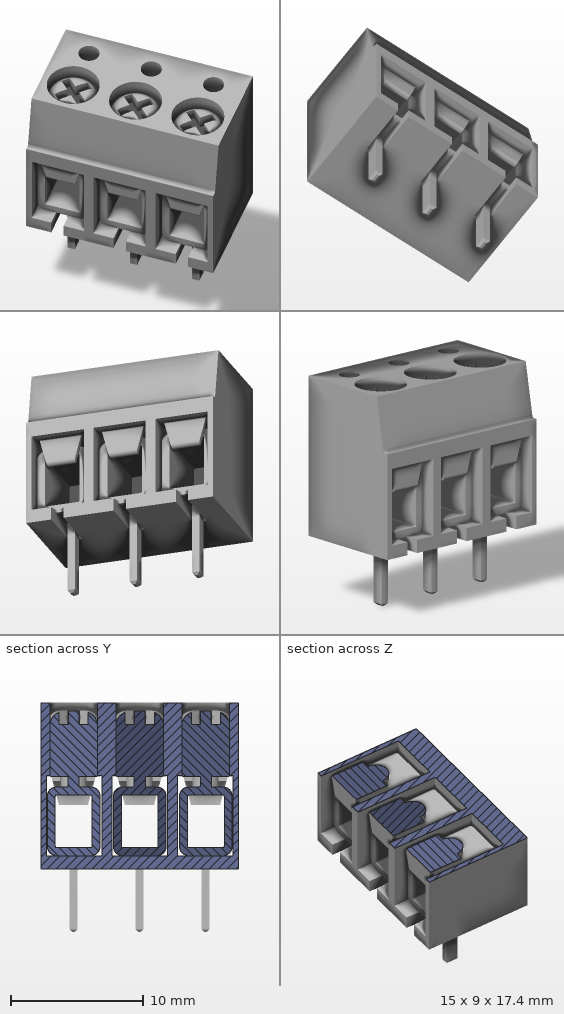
import cadquery as cq


pole_count = 3
pole_pitch = 5.0
pole_axis_y = 3.61
pole_xs = [(i - (pole_count - 1) / 2) * pole_pitch for i in range(pole_count)]

housing_width = 15.0
housing_depth = 9.0
housing_height = 12.6
ledge_height = 8.31
slope_foot_y = 0.42
slope_top_y = 1.21
slope_foot_radius = 0.2

floor_thickness = 1.04
outer_wall = 0.45
inner_wall = 0.78
cavity_width = (housing_width - 2 * outer_wall - (pole_count - 1) * inner_wall) / pole_count
cavity_pitch = cavity_width + inner_wall
cavity_xs = [(i - (pole_count - 1) / 2) * cavity_pitch for i in range(pole_count)]
cavity_top = 7.08
cavity_depth = 7.06

test_hole_diameter = 1.6
test_hole_y = 7.18

cage_width = 4.0
cage_height = 5.2
cage_front_y = 1.13
cage_back_y = 6.66
cage_corner_radius = 0.7
cage_wall = 0.62
opening_corner_radius = 0.1
cage_top = floor_thickness + cage_height

screw_diameter = 4.0
shank_diameter = 2.0
screw_head_bottom = 7.01
screw_top_depth = 0.6
screw_edge_radius = 1.0
slot_length = 2.8
slot_width = 0.7
slot_depth = 1.0
screw_top = housing_height - screw_top_depth

leaf_front_y = 0.7
leaf_thickness = 0.4
leaf_bottom = 4.88
leaf_edge_radius = 0.3
leaf_top_width = 3.4
leaf_bottom_width = 2.2

pin_width = 0.59
pin_depth = 0.97
pin_length = 4.75
pin_tip_chamfer = 0.19
pin_slot_width = 0.99


def make_housing():
    """Block with a sloped upper front, clamp cavities, screw holes, test holes and pin slots."""
    profile = [
        (0, 0),
        (housing_depth, 0),
        (housing_depth, housing_height),
        (slope_top_y, housing_height),
        (slope_foot_y, ledge_height),
        (0, ledge_height),
    ]
    body = cq.Workplane("YZ").polyline(profile).close().extrude(housing_width / 2, both=True)
    slope_foot = cq.selectors.NearestToPointSelector((0, slope_foot_y, ledge_height))
    body = body.edges(slope_foot).fillet(slope_foot_radius)

    cavity_height = cavity_top - floor_thickness
    for x in cavity_xs:
        cavity = cq.Workplane("XY").box(
            cavity_width, cavity_depth, cavity_height, centered=(True, False, False)
        )
        body = body.cut(cavity.translate((x, 0, floor_thickness)))

    hole_depth = housing_height - cavity_top
    pin_slot_depth = pole_axis_y + pin_depth / 2
    for x in pole_xs:
        holes = (
            cq.Workplane("XY", origin=(x, 0, cavity_top))
            .center(0, pole_axis_y)
            .circle(screw_diameter / 2)
            .extrude(hole_depth)
            .center(0, test_hole_y - pole_axis_y)
            .circle(test_hole_diameter / 2)
            .extrude(hole_depth)
        )
        pin_slot = cq.Workplane("XY").box(
            pin_slot_width, pin_slot_depth, floor_thickness, centered=(True, False, False)
        )
        body = body.cut(holes).cut(pin_slot.translate((x, 0, 0)))
    return body.solids()


def make_cage():
    """Rounded rectangular sleeve, open at the front and the back."""
    depth = cage_back_y - cage_front_y
    middle = (0, cage_front_y + depth / 2, floor_thickness + cage_height / 2)
    outside = cq.Workplane("XY").box(cage_width, depth, cage_height)
    outside = outside.edges("|Y").fillet(cage_corner_radius)
    opening = cq.Workplane("XY").box(cage_width - 2 * cage_wall, depth, cage_height - 2 * cage_wall)
    opening = opening.edges("|Y").fillet(opening_corner_radius)
    return outside.cut(opening).translate(middle)


def make_screw():
    """Domed screw head with a cross recess, on a shank that stands on top of the cage."""
    screw = cq.Workplane("XY", origin=(0, pole_axis_y, screw_head_bottom)).circle(screw_diameter / 2)
    screw = screw.extrude(screw_top - screw_head_bottom).faces(">Z").edges().fillet(screw_edge_radius)
    shank = cq.Workplane("XY", origin=(0, pole_axis_y, cage_top)).circle(shank_diameter / 2)
    screw = screw.union(shank.extrude(screw_head_bottom - cage_top))
    for angle in (45, -45):
        slot = cq.Workplane("XY").box(slot_length, slot_width, slot_depth, centered=(True, True, False))
        slot = slot.rotate((0, 0, 0), (0, 0, 1), angle)
        screw = screw.cut(slot.translate((0, pole_axis_y, screw_top - slot_depth)))
    return screw


def make_wire_guard():
    """Tapered leaf in front of the cage, bent back under the cavity ceiling to the screw."""
    inner_y = leaf_front_y + leaf_thickness
    leg_bottom = cavity_top - leaf_thickness
    profile = [
        (leaf_front_y, leaf_bottom),
        (inner_y, leaf_bottom),
        (inner_y, leg_bottom),
        (pole_axis_y, leg_bottom),
        (pole_axis_y, cavity_top),
        (leaf_front_y, cavity_top),
    ]
    strip = cq.Workplane("YZ").polyline(profile).close().extrude(leaf_top_width / 2, both=True)
    strip = strip.edges("|X").edges("<Y").fillet(leaf_edge_radius)
    taper = (
        cq.Workplane("XZ")
        .polyline([
            (-leaf_top_width / 2, cavity_top),
            (leaf_top_width / 2, cavity_top),
            (leaf_bottom_width / 2, leaf_bottom),
            (-leaf_bottom_width / 2, leaf_bottom),
        ])
        .close()
        .extrude(-housing_depth)
    )
    return strip.intersect(taper)


def make_pin():
    """Flat solder pin with a chamfered tip, hanging from the cage."""
    pin = cq.Workplane("XY", origin=(0, pole_axis_y, -pin_length)).rect(pin_width, pin_depth)
    pin = pin.extrude(pin_length + floor_thickness)
    return pin.faces("<Z").edges().chamfer(pin_tip_chamfer)


def make_terminal(x):
    """Cage, screw, wire guard and pin of one pole as a single solid."""
    terminal = make_cage().union(make_screw()).union(make_wire_guard()).union(make_pin())
    return terminal.translate((x, 0, 0)).solids()


housing = make_housing()
terminals = [make_terminal(x) for x in pole_xs]

result = cq.Compound.makeCompound([housing.val(), *[terminal.val() for terminal in terminals]])